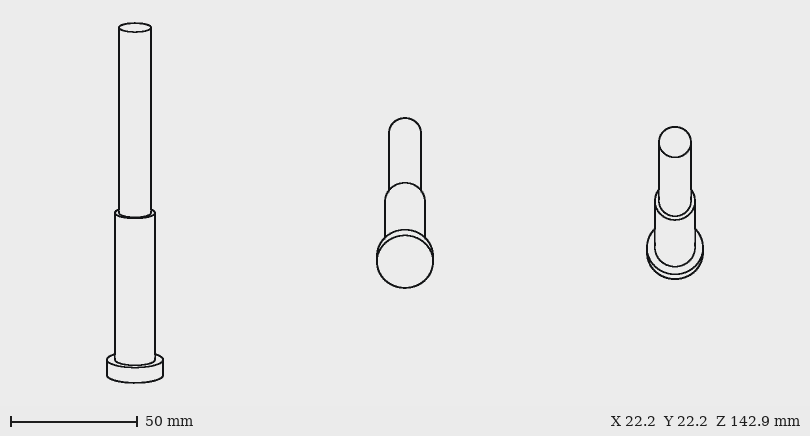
import cadquery as cq

total_length = 142.95

head_diameter = 22.23
head_height = 6.35

shank_diameter = 15.875

tip_diameter = 12.7
tip_length = 76.2

shank_length = total_length - head_height - tip_length


def add_cylinder(body, diameter, length):
    """Stack a coaxial cylinder on the top face of the body."""
    return body.faces(">Z").workplane().circle(diameter / 2).extrude(length)


head = cq.Workplane("XY").circle(head_diameter / 2).extrude(head_height)
head_and_shank = add_cylinder(head, shank_diameter, shank_length)
result = add_cylinder(head_and_shank, tip_diameter, tip_length)